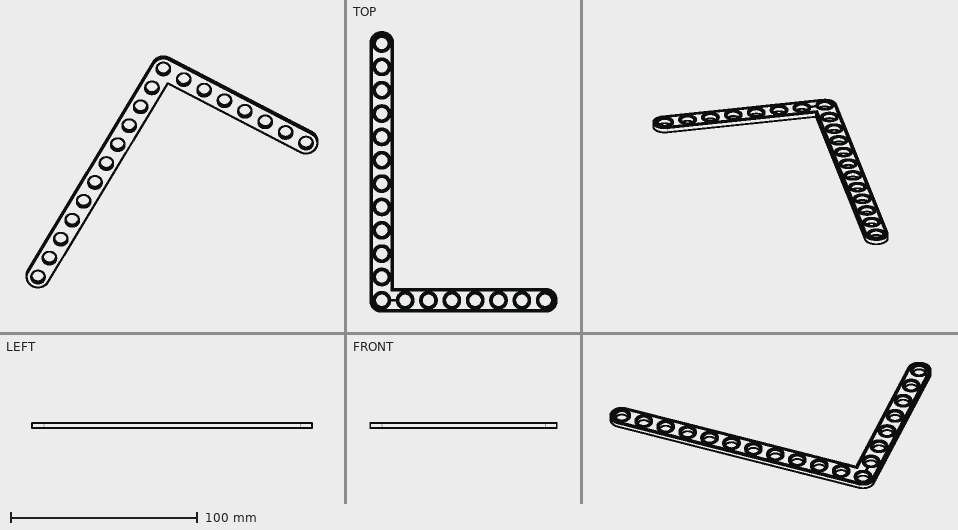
import cadquery as cq

pitch = 12.5
thickness = 3.12
holes_along_x = 8
holes_along_y = 12
hole_diameter = 7.0
hole_rim_diameter = 9.2
bevel = 0.3
recess_depth = 0.2
rib_width = 0.5
rib_end_gap = 0.05

x_arm_reach = (holes_along_x - 1) * pitch
y_arm_reach = (holes_along_y - 1) * pitch
rim_width = (hole_rim_diameter - hole_diameter) / 2
recess_floor = thickness - recess_depth
rib_length = pitch - hole_rim_diameter - 2 * rib_end_gap

x_arm_centres = [(i * pitch, 0) for i in range(holes_along_x)]
y_arm_centres = [(0, i * pitch) for i in range(1, holes_along_y)]
hole_centres = x_arm_centres + y_arm_centres


def arm(reach, inset, bottom, top, angle):
    """Round-ended bar from the corner hole to the last hole of an arm."""
    return (
        cq.Workplane("XY")
        .slot2D(reach + pitch - 2 * inset, pitch - 2 * inset)
        .extrude(top - bottom)
        .translate((reach / 2, 0, bottom))
        .rotate((0, 0, 0), (0, 0, 1), angle)
    )


def l_plate(inset, bottom, top):
    """L-shaped plate, with its outline moved inward by the inset."""
    x_arm = arm(x_arm_reach, inset, bottom, top, 0)
    y_arm = arm(y_arm_reach, inset, bottom, top, 90)
    return x_arm.union(y_arm).clean()


def bevelled_plate():
    """Full plate with the outline bevelled on the top and bottom faces."""
    return l_plate(0, 0, thickness).faces(">Z or <Z").edges().chamfer(bevel)


def recess_cutter():
    """Shallow top recess that leaves a rim on the outline and a ring round each hole."""
    rings = (
        cq.Workplane("XY")
        .workplane(offset=recess_floor)
        .pushPoints(hole_centres)
        .circle(hole_rim_diameter / 2)
        .extrude(recess_depth)
    )
    return l_plate(rim_width, recess_floor, thickness).cut(rings)


def marker_rib():
    """Short rib on the recess floor between the corner hole and its X neighbour."""
    return (
        cq.Workplane("XY")
        .workplane(offset=recess_floor)
        .center(pitch / 2, 0)
        .rect(rib_length, rib_width)
        .extrude(recess_depth)
    )


def hole_cutter():
    """Through hole with a bevelled mouth at both faces, as a turned profile."""
    hole_radius = hole_diameter / 2
    mouth_radius = hole_radius + bevel
    return (
        cq.Workplane("XZ")
        .moveTo(0, 0)
        .lineTo(mouth_radius, 0)
        .lineTo(hole_radius, bevel)
        .lineTo(hole_radius, thickness - bevel)
        .lineTo(mouth_radius, thickness)
        .lineTo(0, thickness)
        .close()
        .revolve(360, (0, 0, 0), (0, 1, 0))
    )


plate = bevelled_plate().cut(recess_cutter()).union(marker_rib())

hole = hole_cutter()
for x, y in hole_centres:
    plate = plate.cut(hole.translate((x, y, 0)))

result = plate